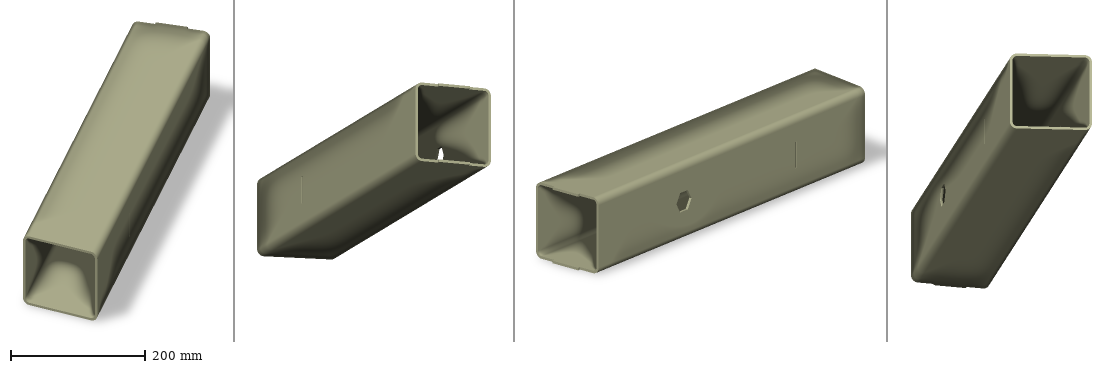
import cadquery as cq
import math

total_length = 650.0
tube_side = 120.0
wall = 4.0
outer_radius = 10.5
miter_angle = 10.0
tab_width = 49.5
tab_length = 4.5
hex_across_flats = 30.5
hex_y = 445.0
slot_length = 41.5
slot_width = 4.5
slot_y = 183.0

half_side = tube_side / 2
inner_side = tube_side - 2 * wall
inner_radius = outer_radius - wall
tube_length = total_length - tab_length
miter_depth = tube_side * math.tan(math.radians(miter_angle))
hex_across_corners = hex_across_flats / math.cos(math.radians(30))


def rounded_bar(side, radius):
    """Square bar with rounded long edges, from Y = 0 to the tab tips."""
    return (
        cq.Workplane("XZ")
        .rect(side, side)
        .extrude(-total_length)
        .edges("|Y")
        .fillet(radius)
    )


def end_outline():
    """Plan outline with the mitered front end and the tab on the back end."""
    return (
        cq.Workplane("XY")
        .workplane(offset=-half_side)
        .moveTo(half_side, 0)
        .lineTo(half_side, tube_length)
        .lineTo(tab_width / 2, tube_length)
        .lineTo(tab_width / 2, total_length)
        .lineTo(-tab_width / 2, total_length)
        .lineTo(-tab_width / 2, tube_length)
        .lineTo(-half_side, tube_length)
        .lineTo(-half_side, miter_depth)
        .close()
        .extrude(tube_side)
    )


def left_face(y):
    """Sketch plane on the outer -X face; local x follows Y and extrusion goes to +X."""
    return cq.Workplane("YZ", origin=(-half_side, y, 0))


tube = rounded_bar(tube_side, outer_radius).cut(rounded_bar(inner_side, inner_radius))
tube = tube.intersect(end_outline())

hex_hole = left_face(hex_y).polygon(6, hex_across_corners).extrude(wall)

slot = left_face(slot_y).rect(slot_width, slot_length).extrude(tube_side)

result = tube.cut(hex_hole).cut(slot)